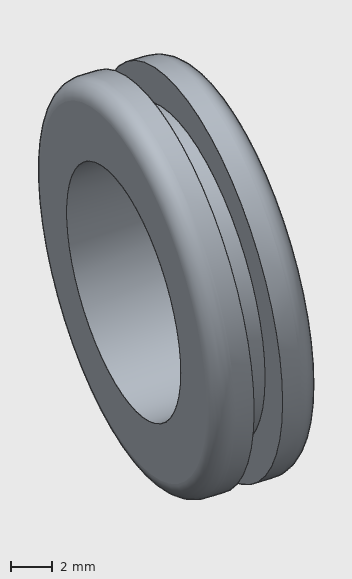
import cadquery as cq

outer_diameter = 21.0
bore_diameter = 13.0
groove_diameter = 17.0
thickness = 5.5
groove_width = 1.5
rim_radius = 1.0


def disc(diameter, width):
    """Solid disc on the Y axis, centred on the origin."""
    return cq.Workplane("XZ", origin=(0, width / 2, 0)).circle(diameter / 2).extrude(width)


def rounded_body():
    """Full-width disc with both outer rims rounded."""
    return disc(outer_diameter, thickness).faces("<Y or >Y").edges().fillet(rim_radius)


def groove():
    """Band of material removed from the middle of the outer surface."""
    return disc(outer_diameter, groove_width).cut(disc(groove_diameter, groove_width))


bore = disc(bore_diameter, thickness)
result = rounded_body().cut(groove()).cut(bore)